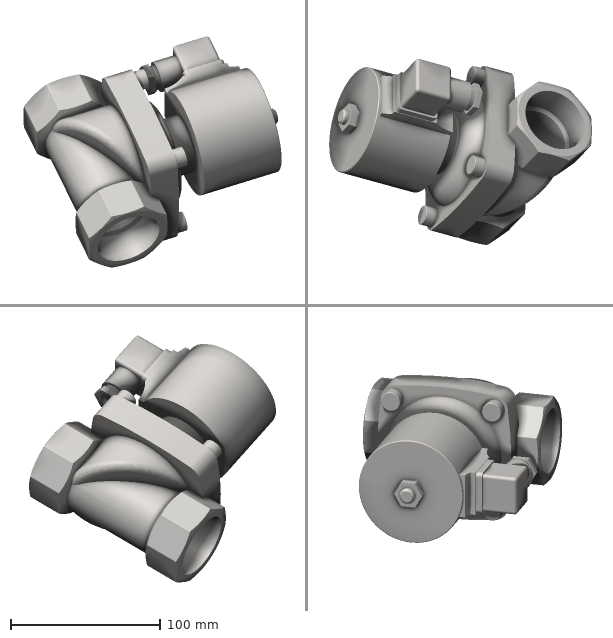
import cadquery as cq
import math


PIPE_HALF_LENGTH = 61.5
PIPE_RADIUS = 23.4
SOCKET_SIDES = 8
SOCKET_FLATS = 56.0
SOCKET_EDGE_RADIUS = 1.0
SOCKET_FACE_RADIUS = 27.4
SOCKET_INNER_X = 32.5
BACK_SLOPE = math.tan(math.radians(60))
FACE_SLOPE = 2.2
THREAD_RADIUS = 22.2
THREAD_DEPTH = 22.0
BORE_RADIUS = 20.0
WALL_THICKNESS = 10.0

BODY_RADIUS = 39.9
SEAT_SLOPE = 0.6
SEAT_FILLET = 5.0

FLANGE_Y = 22.0
FLANGE_THICKNESS = 20.0
FLANGE_HALF = 93.73 / 2
FLANGE_SIDE_RADIUS = 255.0
FLANGE_CORNER_RADIUS = 10.0
FLANGE_TOP = FLANGE_Y + FLANGE_THICKNESS

SCREW_OFFSET = 35.4
SCREW_RADIUS = 6.65
SCREW_HEIGHT = 8.1
SCREW_FILLET = 0.5

BONNET_RADIUS = 40.0
BONNET_HEIGHT = 9.4
BONNET_CURVE_RADIUS = 18.0
BONNET_TOP = FLANGE_TOP + BONNET_HEIGHT
NECK_RADIUS = 20.0
NECK_FILLET = 1.0

COIL_BOTTOM = 64.3
COIL_TOP = 120.0
COIL_RADIUS = 36.5
COIL_CHAMFER = 0.5
NUT_FLATS = 17.0
NUT_HEIGHT = 6.3
STUD_RADIUS = 5.2
STUD_TOP = 130.0
STUD_CHAMFER = 1.2

BASE_WIDTH = 30.0
BASE_TOP = 117.8
BASE_EDGE_X = -37.4
BASE_SHOULDER_X = -39.1
BASE_FACE_X = -42.7
BASE_FACE_TOP = 111.4
BASE_FACE_BOTTOM = 79.2
BASE_UPPER_CURVE_POINT = (-38.0, 114.4)
BASE_LOWER_CURVE_POINT = (-39.1, 73.0)

PLUG_Y = 95.85
COLLAR_SIZE = 29.4
COLLAR_FRONT_X = -47.2
COLLAR_CORNER_RADIUS = 3.0
PLUG_SIZE = 26.4
PLUG_FRONT_X = -71.0
PLUG_FILLET = 2.2

GLAND_X = -59.35
GLAND_RADIUS = 10.6
GLAND_BOTTOM = 67.2
GLAND_NECK_RADIUS = 8.4
GLAND_NUT_TOP = 63.2
GLAND_NUT_BOTTOM = 59.1
GLAND_NUT_FLATS = 19.2
CABLE_HOLE_RADIUS = 6.0


def across_corners(flats, sides):
    return flats / math.cos(math.pi / sides)


def plane_at_y(y, x=0):
    """Plane facing +Y with local x along X."""
    return cq.Workplane(cq.Plane(origin=(x, y, 0), xDir=(1, 0, 0), normal=(0, 1, 0)))


def plane_at_x(x, y=0):
    """Plane facing +X with local x along Y."""
    return cq.Workplane(cq.Plane(origin=(x, y, 0), xDir=(0, 1, 0), normal=(1, 0, 0)))


def cylinder_y(radius, bottom, top, x=0):
    return plane_at_y(bottom, x).circle(radius).extrude(top - bottom)


def hexagon_y(flats, bottom, top, x=0):
    return plane_at_y(bottom, x).polygon(6, across_corners(flats, 6)).extrude(top - bottom)


def make_socket():
    """Octagonal socket at the +X end, trimmed by a turned envelope."""
    octagon = (
        plane_at_x(SOCKET_INNER_X)
        .polygon(SOCKET_SIDES, across_corners(SOCKET_FLATS, SOCKET_SIDES))
        .extrude(PIPE_HALF_LENGTH - SOCKET_INNER_X)
        .rotate((0, 0, 0), (1, 0, 0), 180 / SOCKET_SIDES)
        .edges("|X")
        .fillet(SOCKET_EDGE_RADIUS)
    )
    rim_radius = across_corners(SOCKET_FLATS, SOCKET_SIDES) / 2
    back_length = (rim_radius - PIPE_RADIUS) / BACK_SLOPE
    face_length = (rim_radius - SOCKET_FACE_RADIUS) / FACE_SLOPE
    envelope = (
        cq.Workplane("XY")
        .moveTo(SOCKET_INNER_X, 0)
        .lineTo(SOCKET_INNER_X, PIPE_RADIUS)
        .lineTo(SOCKET_INNER_X + back_length, rim_radius)
        .lineTo(PIPE_HALF_LENGTH - face_length, rim_radius)
        .lineTo(PIPE_HALF_LENGTH, SOCKET_FACE_RADIUS)
        .lineTo(PIPE_HALF_LENGTH, 0)
        .close()
        .revolve(360, (0, 0, 0), (1, 0, 0))
    )
    return octagon.intersect(envelope)


def make_port():
    """Threaded mouth, 45 degree cone and bore of the +X end, as a cutting body."""
    thread_end = PIPE_HALF_LENGTH - THREAD_DEPTH
    cone_end = thread_end - (THREAD_RADIUS - BORE_RADIUS)
    return (
        cq.Workplane("XY")
        .moveTo(PIPE_HALF_LENGTH, 0)
        .lineTo(PIPE_HALF_LENGTH, THREAD_RADIUS)
        .lineTo(thread_end, THREAD_RADIUS)
        .lineTo(cone_end, BORE_RADIUS)
        .lineTo(WALL_THICKNESS / 2, BORE_RADIUS)
        .lineTo(WALL_THICKNESS / 2, 0)
        .close()
        .revolve(360, (0, 0, 0), (1, 0, 0))
    )


def make_body():
    """Round body between the flange and the sloping plane, with a rounded lower rim."""
    side_profile = (
        cq.Workplane("XY")
        .moveTo(-BODY_RADIUS, -SEAT_SLOPE * BODY_RADIUS)
        .lineTo(BODY_RADIUS, SEAT_SLOPE * BODY_RADIUS)
        .lineTo(BODY_RADIUS, FLANGE_TOP)
        .lineTo(-BODY_RADIUS, FLANGE_TOP)
        .close()
        .extrude(BODY_RADIUS, both=True)
    )
    round_bar = cylinder_y(BODY_RADIUS, -BODY_RADIUS, FLANGE_TOP)
    return round_bar.intersect(side_profile).faces("<Y").edges().fillet(SEAT_FILLET)


def make_flange():
    """Square flange whose four sides bow outwards."""
    arc_centre = FLANGE_HALF - FLANGE_SIDE_RADIUS
    corner = (arc_centre + math.sqrt(2 * FLANGE_SIDE_RADIUS**2 - arc_centre**2)) / 2
    return (
        plane_at_y(FLANGE_Y)
        .moveTo(-corner, -corner)
        .threePointArc((0, -FLANGE_HALF), (corner, -corner))
        .threePointArc((FLANGE_HALF, 0), (corner, corner))
        .threePointArc((0, FLANGE_HALF), (-corner, corner))
        .threePointArc((-FLANGE_HALF, 0), (-corner, -corner))
        .close()
        .extrude(FLANGE_THICKNESS)
        .edges("|Y")
        .fillet(FLANGE_CORNER_RADIUS)
    )


def make_screws():
    return (
        plane_at_y(FLANGE_TOP)
        .rect(2 * SCREW_OFFSET, 2 * SCREW_OFFSET, forConstruction=True)
        .vertices()
        .circle(SCREW_RADIUS)
        .extrude(SCREW_HEIGHT)
        .faces(">Y")
        .edges()
        .fillet(SCREW_FILLET)
    )


def make_bonnet():
    """Rounded cover with the neck that carries the coil."""
    foot_angle = math.acos(1 - BONNET_HEIGHT / BONNET_CURVE_RADIUS)
    flat_radius = BONNET_RADIUS - BONNET_CURVE_RADIUS * math.sin(foot_angle)
    curve_middle = (
        flat_radius + BONNET_CURVE_RADIUS * math.sin(foot_angle / 2),
        BONNET_TOP - BONNET_CURVE_RADIUS * (1 - math.cos(foot_angle / 2)),
    )
    cover = (
        cq.Workplane("XY")
        .moveTo(0, FLANGE_TOP)
        .lineTo(BONNET_RADIUS, FLANGE_TOP)
        .threePointArc(curve_middle, (flat_radius, BONNET_TOP))
        .lineTo(0, BONNET_TOP)
        .close()
        .revolve(360, (0, 0, 0), (0, 1, 0))
    )
    neck = cylinder_y(NECK_RADIUS, BONNET_TOP, COIL_BOTTOM)
    neck_foot = cq.selectors.BoxSelector(
        (-NECK_RADIUS - NECK_FILLET, BONNET_TOP - NECK_FILLET, -NECK_RADIUS - NECK_FILLET),
        (NECK_RADIUS + NECK_FILLET, BONNET_TOP + NECK_FILLET, NECK_RADIUS + NECK_FILLET),
        boundingbox=True,
    )
    return cover.union(neck).edges(neck_foot).fillet(NECK_FILLET)


def make_coil():
    coil = cylinder_y(COIL_RADIUS, COIL_BOTTOM, COIL_TOP).faces(">Y").edges().chamfer(COIL_CHAMFER)
    nut = hexagon_y(NUT_FLATS, COIL_TOP, COIL_TOP + NUT_HEIGHT)
    stud = cylinder_y(STUD_RADIUS, COIL_TOP, STUD_TOP).faces(">Y").edges().chamfer(STUD_CHAMFER)
    return coil.union(nut).union(stud)


def make_connector_base():
    """Block on the coil side with hollow-curved shoulders above and below its face."""
    return (
        cq.Workplane("XY")
        .moveTo(0, BASE_TOP)
        .lineTo(BASE_EDGE_X, BASE_TOP)
        .threePointArc(BASE_UPPER_CURVE_POINT, (BASE_SHOULDER_X, BASE_FACE_TOP))
        .lineTo(BASE_FACE_X, BASE_FACE_TOP)
        .lineTo(BASE_FACE_X, BASE_FACE_BOTTOM)
        .threePointArc(BASE_LOWER_CURVE_POINT, (BASE_EDGE_X, COIL_BOTTOM))
        .lineTo(0, COIL_BOTTOM)
        .close()
        .extrude(BASE_WIDTH / 2, both=True)
    )


def make_plug():
    collar = (
        plane_at_x(BASE_FACE_X, PLUG_Y)
        .rect(COLLAR_SIZE, COLLAR_SIZE)
        .extrude(COLLAR_FRONT_X - BASE_FACE_X)
        .edges("|X")
        .fillet(COLLAR_CORNER_RADIUS)
    )
    plug = (
        plane_at_x(COLLAR_FRONT_X, PLUG_Y)
        .rect(PLUG_SIZE, PLUG_SIZE)
        .extrude(PLUG_FRONT_X - COLLAR_FRONT_X)
        .edges("|X or <X")
        .fillet(PLUG_FILLET)
    )
    return collar.union(plug)


def make_gland():
    barrel = cylinder_y(GLAND_RADIUS, GLAND_BOTTOM, PLUG_Y, GLAND_X)
    neck = cylinder_y(GLAND_NECK_RADIUS, GLAND_NUT_TOP, GLAND_BOTTOM, GLAND_X)
    nut = hexagon_y(GLAND_NUT_FLATS, GLAND_NUT_BOTTOM, GLAND_NUT_TOP, GLAND_X)
    hole = cylinder_y(CABLE_HOLE_RADIUS, GLAND_NUT_BOTTOM, GLAND_NUT_TOP, GLAND_X)
    return barrel.union(neck).union(nut).cut(hole)


socket = make_socket()
port = make_port()
pipe = plane_at_x(-PIPE_HALF_LENGTH).circle(PIPE_RADIUS).extrude(2 * PIPE_HALF_LENGTH)
result = make_body().union(pipe).union(socket).union(socket.mirror("YZ"))
result = result.union(make_flange()).union(make_bonnet()).union(make_screws())
result = result.union(make_coil()).union(make_connector_base())
result = result.union(make_plug()).union(make_gland())
result = result.cut(port).cut(port.mirror("YZ"))